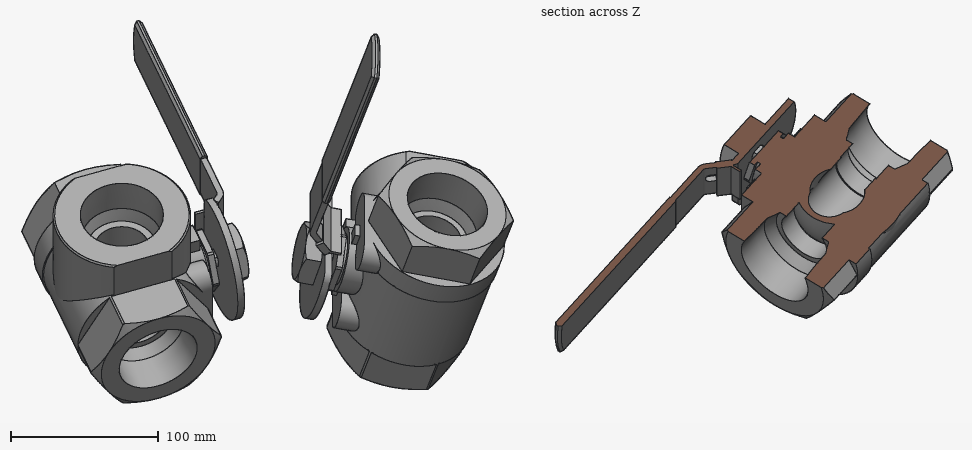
import cadquery as cq
import math


HALF_LENGTH = 71.5
HALF_BODY = 41.7
BODY_R = 47.05
COLLAR_R = 48.0
COLLAR_LENGTH = 16.0
HEX_FLATS = 82.2
HEX_CHAMFER_DEPTH = 4.0
BRANCH_R = 46.6
BRANCH_EDGE = 1.0

MOUTH_D = 56.3
THREAD_END_D = 54.5
THREAD_DEPTH = 24.8
SEAT_D = 47.2
SEAT_DEPTH = 33.7
SEAT_HEIGHT = HALF_LENGTH - SEAT_DEPTH
RUN_OPENING_D = 38.0
BALL_R = 30.4
BALL_BORE_D = 37.0
BALL_BORE_END = -9.0

PAD_TOP = 50.2
PAD_D = 23.7
PAD_REACH = 31.5
TAB_TOP = 53.8
RUN_TAB_REACH = 30.5
RUN_TAB_WIDTH = 10.0
BRANCH_TAB_WIDTH = 14.4
BONNET_D = 44.7
BONNET_TOP = 55.5
GLAND_D = 35.3
GLAND_TOP = 57.7
LOCK_NUT_FLATS = 40.3
LOCK_NUT_TURNED_D = 45.5
LOCK_NUT_TOP = 62.0
STEM_D = 12.1
STEM_FLATS = 9.5

PLATE_BOTTOM = 67.5
PLATE_THICKNESS = 5.0
PLATE_TOP = PLATE_BOTTOM + PLATE_THICKNESS
PLATE_R = 44.0
PLATE_EDGE_X = -22.0
PLATE_CORNER_R = 8.3
TOP_NUT_D = 44.0
TOP_NUT_TOP = 84.7
TOP_NUT_TURN = 5
TOP_NUT_CHAMFER_DEPTH = 1.7
LEVER_TOP = 88.3
LEVER_THICKNESS = 5.5
LEVER_BOTTOM = LEVER_TOP - LEVER_THICKNESS
NECK_WIDTH = 36.0
NECK_THICKNESS = 4.5
NECK_TOP = (LEVER_TOP + LEVER_BOTTOM + NECK_THICKNESS) / 2
NECK_BOTTOM = NECK_TOP - NECK_THICKNESS
BEND_R = 2.8
BEND_SUM = 44.2
NECK_SLOT_LENGTH = 9.0
NECK_SLOT_WIDTH = 7.0
NECK_SLOT_X = -35.3
GRIP_WIDTH = 40.5
GRIP_START = -72.0
GRIP_TIP = 276 - HALF_LENGTH
GRIP_CORNER_SETBACK = 3.0
GRIP_EDGE = 2.0
CLIP_THICKNESS = 5.8
CLIP_SUM = 43.0
CLIP_TOP_X = -33.7
CLIP_END_X = -26.0
LIP_X = -26.8
LIP_THICKNESS = 2.0
LIP_BOTTOM = 62.5


def along_x(start):
    """Sketch plane facing +X; local axes are Y and Z."""
    return cq.Workplane("YZ", origin=(start, 0, 0))


def along_y(start):
    """Sketch plane facing +Y; local axes are Z and X."""
    return cq.Workplane("ZX", origin=(0, start, 0))


def profile_xy(points, width):
    """Extrude an outline in X and Y, centred on Z = 0."""
    return cq.Workplane("XY").polyline(points).close().extrude(width / 2, both=True)


def across_corners(flats):
    return flats / math.cos(math.radians(30))


def chamfered_cylinder(radius, face_radius, depth, bottom, top):
    """Cylinder along Z whose top edge is bevelled down to face_radius."""
    outline = [(0, bottom), (radius, bottom), (radius, top - depth), (face_radius, top), (0, top)]
    return cq.Workplane("XZ").polyline(outline).close().revolve(360, (0, 0), (0, 1))


def run_direction(shape, side):
    """Turn a shape from the Z axis to +X (side 1) or -X (side -1)."""
    return shape.rotate((0, 0, 0), (0, 1, 0), 90 * side)


def hex_end(side, corner_r):
    """Hexagonal run end with flats on +Z and -Z and a bevelled outer face."""
    start = cq.Workplane("XY").workplane(offset=HALF_BODY)
    hexagon = start.polygon(6, across_corners(HEX_FLATS)).extrude(HALF_LENGTH - HALF_BODY)
    hexagon = hexagon.rotate((0, 0, 0), (0, 0, 1), 30)
    turned = chamfered_cylinder(corner_r, HEX_FLATS / 2, HEX_CHAMFER_DEPTH, HALF_BODY, HALF_LENGTH)
    return run_direction(hexagon.intersect(turned), side)


def branch():
    """Round branch with its two sides flush with the ends of the body."""
    turned = chamfered_cylinder(BRANCH_R, BRANCH_R - BRANCH_EDGE, BRANCH_EDGE, 0, HALF_LENGTH)
    sides = cq.Workplane("XY").rect(2 * HALF_BODY, 3 * BRANCH_R).extrude(HALF_LENGTH)
    return turned.intersect(sides)


def body():
    round_part = along_x(-HALF_BODY).circle(BODY_R).extrude(2 * HALF_BODY)
    collar = along_x(-HALF_BODY).circle(COLLAR_R).extrude(COLLAR_LENGTH)
    shape = round_part.union(collar).rotate((0, 0, 0), (1, 0, 0), -90)
    shape = shape.union(branch())
    shape = shape.union(hex_end(-1, across_corners(HEX_FLATS) / 2))
    return shape.union(hex_end(1, BODY_R))


def port_cavity():
    """Tapered thread and run-out cone, down to the flat floor of the port."""
    outline = [
        (0, HALF_LENGTH),
        (MOUTH_D / 2, HALF_LENGTH),
        (THREAD_END_D / 2, HALF_LENGTH - THREAD_DEPTH),
        (SEAT_D / 2, SEAT_HEIGHT),
        (0, SEAT_HEIGHT),
    ]
    return cq.Workplane("XZ").polyline(outline).close().revolve(360, (0, 0), (0, 1))


def run_opening():
    """Opening from the floor of a run port to the surface of the ball."""
    radius = RUN_OPENING_D / 2
    touch_angle = math.asin(radius / BALL_R)
    ball_middle = (BALL_R * math.sin(touch_angle / 2), BALL_R * math.cos(touch_angle / 2))
    outline = (
        cq.Workplane("XZ")
        .moveTo(0, SEAT_HEIGHT)
        .lineTo(radius, SEAT_HEIGHT)
        .lineTo(radius, BALL_R * math.cos(touch_angle))
        .threePointArc(ball_middle, (0, BALL_R))
        .close()
    )
    return outline.revolve(360, (0, 0), (0, 1))


def ball_passage():
    """Bore that joins the branch to the +X port, with a hemispherical closed end."""
    radius = BALL_BORE_D / 2
    slant = radius * math.sin(math.radians(45))
    outline = (
        cq.Workplane("XZ")
        .moveTo(BALL_BORE_END - radius, 0)
        .threePointArc((BALL_BORE_END - slant, -slant), (BALL_BORE_END, -radius))
        .lineTo(BALL_R, -radius)
        .lineTo(BALL_R, 0)
        .close()
    )
    run_bore = outline.revolve(360, (0, 0), (1, 0))
    branch_plane = cq.Plane((0, 0, 0), xDir=(0, 1, 0), normal=(0, 0, 1))
    branch_bore = cq.Workplane(branch_plane).circle(radius).extrude(SEAT_HEIGHT)
    return run_bore.union(branch_bore)


def cut_ports(shape):
    """Cut the three ports down to the ball, then the passage through the ball."""
    shape = shape.cut(port_cavity())
    for side in (-1, 1):
        shape = shape.cut(run_direction(port_cavity(), side))
        shape = shape.cut(run_direction(run_opening(), side))
    return shape.cut(ball_passage())


def pads_and_tabs():
    """Two rounded pads along Z, with a raised cross of three tabs between them."""
    pad_x = HALF_BODY - PAD_D / 2
    pads = along_y(0).pushPoints([(0, pad_x), (0, -pad_x)]).slot2D(2 * PAD_REACH, PAD_D).extrude(PAD_TOP)
    run_tabs = along_y(0).rect(RUN_TAB_WIDTH, 2 * RUN_TAB_REACH).extrude(TAB_TOP)
    branch_tab = along_y(0).center(PAD_REACH / 2, 0).rect(PAD_REACH, BRANCH_TAB_WIDTH).extrude(TAB_TOP)
    return pads.union(run_tabs).union(branch_tab)


def lock_nut():
    height = LOCK_NUT_TOP - GLAND_TOP
    hexagon = along_y(GLAND_TOP).polygon(6, across_corners(LOCK_NUT_FLATS)).extrude(height)
    hexagon = hexagon.rotate((0, 0, 0), (0, 1, 0), 30)
    return hexagon.intersect(along_y(GLAND_TOP).circle(LOCK_NUT_TURNED_D / 2).extrude(height))


def stem():
    bonnet = along_y(0).circle(BONNET_D / 2).extrude(BONNET_TOP)
    gland = along_y(0).circle(GLAND_D / 2).extrude(GLAND_TOP)
    rod = along_y(0).circle(STEM_D / 2).extrude(PLATE_TOP)
    flats = along_y(0).rect(STEM_FLATS, STEM_D).extrude(PLATE_TOP)
    return bonnet.union(gland).union(rod.intersect(flats)).union(lock_nut())


def top_nut():
    height = TOP_NUT_TOP - PLATE_TOP
    hexagon = cq.Workplane("XY").polygon(6, TOP_NUT_D).extrude(height)
    hexagon = hexagon.rotate((0, 0, 0), (0, 0, 1), TOP_NUT_TURN)
    face_r = TOP_NUT_D / 2 * math.cos(math.radians(30))
    turned = chamfered_cylinder(TOP_NUT_D / 2, face_r, TOP_NUT_CHAMFER_DEPTH, 0, height)
    nut = hexagon.intersect(turned)
    return nut.rotate((0, 0, 0), (1, 0, 0), -90).translate((0, PLATE_TOP, 0))


def stop_plate():
    """Disc with one straight side and rounded corners where they meet."""
    disc = along_y(PLATE_BOTTOM).circle(PLATE_R).extrude(PLATE_THICKNESS)
    length = PLATE_R - PLATE_EDGE_X
    keep = along_y(PLATE_BOTTOM).center(0, PLATE_EDGE_X + length / 2)
    keep = keep.rect(2 * PLATE_R, length).extrude(PLATE_THICKNESS)
    return disc.intersect(keep).edges("|Y and <X").fillet(PLATE_CORNER_R)


def neck():
    """Flat arm that bends down 45 degrees to the stop plate, with a slot in the slope."""
    upper_sum = BEND_SUM + NECK_THICKNESS * math.sqrt(2)
    outline = [
        (GRIP_START, NECK_TOP),
        (upper_sum - NECK_TOP, NECK_TOP),
        (upper_sum - PLATE_TOP, PLATE_TOP),
        (PLATE_EDGE_X + PLATE_THICKNESS, PLATE_TOP),
        (PLATE_EDGE_X + PLATE_THICKNESS, PLATE_BOTTOM),
        (PLATE_EDGE_X, PLATE_BOTTOM),
        (CLIP_END_X, BEND_SUM - CLIP_END_X),
        (BEND_SUM - NECK_BOTTOM, NECK_BOTTOM),
        (GRIP_START, NECK_BOTTOM),
    ]
    arm = profile_xy(outline, NECK_WIDTH)
    inner_bend = cq.NearestToPointSelector((BEND_SUM - NECK_BOTTOM, NECK_BOTTOM, 0))
    outer_bend = cq.NearestToPointSelector((upper_sum - NECK_TOP, NECK_TOP, 0))
    arm = arm.edges(inner_bend).fillet(BEND_R)
    arm = arm.edges(outer_bend).fillet(BEND_R + NECK_THICKNESS)
    slope = cq.Plane((NECK_SLOT_X, BEND_SUM - NECK_SLOT_X, 0), xDir=(1, -1, 0), normal=(1, 1, 0))
    slot = cq.Workplane(slope).slot2D(NECK_SLOT_LENGTH, NECK_SLOT_WIDTH)
    slot = slot.extrude(2 * NECK_THICKNESS, both=True)
    return arm.cut(slot)


def clip():
    """Wider block around the lower neck, with a thin lip hanging below it."""
    rise = CLIP_THICKNESS / math.sqrt(2)
    block = [
        (CLIP_TOP_X, CLIP_SUM - CLIP_TOP_X),
        (CLIP_TOP_X + rise, CLIP_SUM - CLIP_TOP_X + rise),
        (CLIP_END_X + rise, CLIP_SUM - CLIP_END_X + rise),
        (CLIP_END_X, CLIP_SUM - CLIP_END_X),
    ]
    lip_end = LIP_X + LIP_THICKNESS
    lip = [
        (LIP_X, LIP_BOTTOM),
        (LIP_X, BEND_SUM - LIP_X),
        (lip_end, BEND_SUM - LIP_X),
        (lip_end, LIP_BOTTOM),
    ]
    return profile_xy(block, GRIP_WIDTH).union(profile_xy(lip, GRIP_WIDTH))


def grip():
    """Long sleeve with a bowed tip and bevelled long and tip edges."""
    half = GRIP_WIDTH / 2
    corner_x = -GRIP_TIP + GRIP_CORNER_SETBACK
    outline = (
        along_y(LEVER_BOTTOM)
        .moveTo(-half, GRIP_START)
        .lineTo(-half, corner_x)
        .threePointArc((0, -GRIP_TIP), (half, corner_x))
        .lineTo(half, GRIP_START)
        .close()
    )
    sleeve = outline.extrude(LEVER_THICKNESS)
    return sleeve.faces("<Y or >Y").edges("not >X").chamfer(GRIP_EDGE)


result = cut_ports(body().union(pads_and_tabs()).union(stem()))
for piece in (top_nut(), stop_plate(), neck(), clip(), grip()):
    result = result.union(piece)